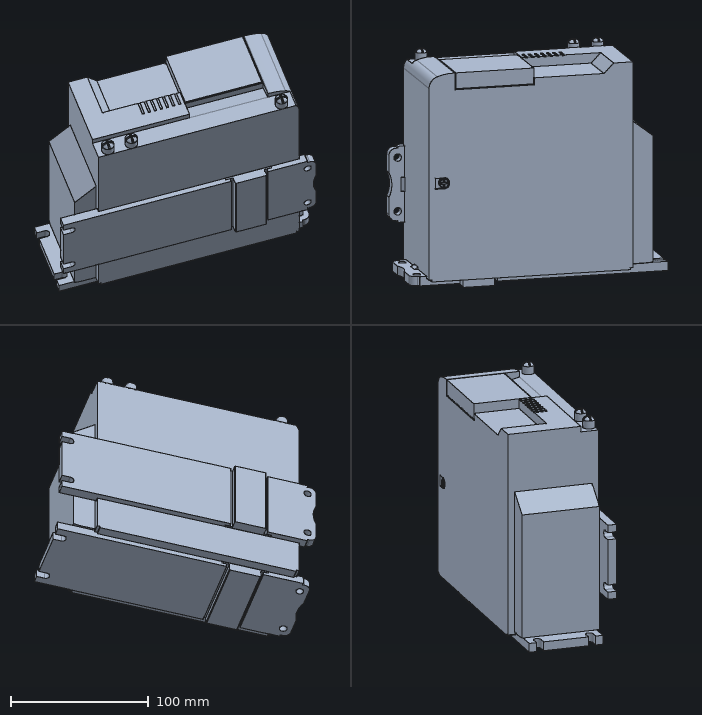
import cadquery as cq
import math


HOUSING_WIDTH = 69.9
HOUSING_LENGTH = 153.8
HOUSING_HEIGHT = 154.8
BASE_STEP_INSET = 2.1
BASE_STEP_HEIGHT = 1.4
SHOULDER_RADIUS = 8.9
CROWN_RADIUS = 41.6
CROWN_ANGLE = math.radians(18)

BLOCK_WIDTH = 59.6
BLOCK_DEPTH = 16.5
BLOCK_TOP = 110.3
BLOCK_EDGE_TOP = 97.7
BLOCK_RELIEF_DEPTH = 5.5
BLOCK_RELIEF_RISE = 0.5

STRIP_LEFT = 56.1
STRIP_DEPTH = 4.3
STRIP_Z = HOUSING_HEIGHT - STRIP_DEPTH

PANEL_WIDTH = 44.5
PANEL_FRONT = 74.9
PANEL_REAR = 133.7
PANEL_HEIGHT = 12.0
JOINT_WIDTH = 0.5
JOINT_DEPTH = 1.0
RAMP_DROP = 2.5

POCKET_WIDTH = 34.8
POCKET_DEPTH = 7.4
POCKET_FLOOR_FRONT = 22.0
POCKET_FRONT = 14.7
VENT_COUNT = 7
VENT_LENGTH = 10.0
VENT_WIDTH = 1.5
VENT_DEPTH = 0.5
VENT_PITCH = 4.6
FIRST_VENT_Y = 42.8

BRACKET_WIDTH = 56.9
BRACKET_THICKNESS = 7.0
BRACKET_EMBED = 2.9
BRACKET_OVERHANG = 11.6
BRACKET_FRONT = -BLOCK_DEPTH - BRACKET_OVERHANG
BRACKET_REAR = HOUSING_LENGTH + BRACKET_OVERHANG
BRACKET_CENTRE_X = HOUSING_WIDTH / 2
BRACKET_CENTRE_Z = 58.2
HOLE_DIAMETER = 5.5
HOLE_SPACING = 40.0
SLOT_LENGTH = 8.9
HOLE_TO_REAR = 6.5
EAR_RADIUS = 5.0
EAR_INSET = 1.4
DIP_HALF_WIDTH = 9.0
DIP_DEPTH = 2.1
TOOTH_WIDTH = 10.5
TOOTH_LENGTH = 2.7
TOOTH_HEIGHT = 1.7

FOOT_CENTRE_Y = 114.5
FOOT_LENGTH = 24.0
FOOT_HEIGHT = 7.2
FOOT_CHAMFER = 0.5
FOOT_GAP_LENGTH = 28.0
PAD_LENGTH = 35.2
PAD_THICKNESS = 1.5
FOOT_LEDGE = 0.2

TOP_SCREW_DIAMETER = 9.0
TOP_SCREW_SHANK = 6.0
TOP_SCREW_DOME = 2.7
TOP_SCREW_X = HOUSING_WIDTH - TOP_SCREW_DIAMETER / 2
TOP_SCREW_YS = (8.7, 26.7, 141.6)
CROSS_WIDTH = 1.2
SIDE_SCREW_DIAMETER = 7.0
SIDE_SCREW_HEIGHT = 2.9
SIDE_SCREW_CHAMFER = 0.4
SIDE_CROSS_LENGTH = 5.6
SIDE_CROSS_DEPTH = 1.0
SIDE_SCREW_Y = 142.5
SIDE_SCREW_Z = 73.0
SIDE_RECESS_DIAMETER = 8.1
SIDE_RECESS_REAR = 149.2
SIDE_RECESS_DEPTH = SIDE_SCREW_HEIGHT


def box(x_range, y_range, z_range):
    """Box that spans the given ranges along the three axes."""
    starts, ends = zip(x_range, y_range, z_range)
    sizes = [end - start for start, end in zip(starts, ends)]
    return cq.Workplane("XY").box(*sizes, centered=False).translate(starts)


def side_prism(points, x_range):
    """Prism along X over an outline of (Y, Z) points."""
    start, end = x_range
    return cq.Workplane("YZ", origin=(start, 0, 0)).polyline(points).close().extrude(end - start)


def housing_shell():
    """Main block with stepped bottom edges and a rounded upper rear edge."""
    shoulder_bottom = (
        HOUSING_HEIGHT
        - CROWN_RADIUS * (1 - math.cos(CROWN_ANGLE))
        - SHOULDER_RADIUS * math.cos(CROWN_ANGLE)
    )
    shoulder_centre_y = HOUSING_LENGTH - SHOULDER_RADIUS

    def shoulder_point(angle):
        return (
            shoulder_centre_y + SHOULDER_RADIUS * math.sin(angle),
            shoulder_bottom + SHOULDER_RADIUS * math.cos(angle),
        )

    shoulder_end = shoulder_point(CROWN_ANGLE)
    crown_centre_y = shoulder_end[0] - CROWN_RADIUS * math.sin(CROWN_ANGLE)
    crown_centre_z = HOUSING_HEIGHT - CROWN_RADIUS

    def crown_point(angle):
        return (
            crown_centre_y + CROWN_RADIUS * math.sin(angle),
            crown_centre_z + CROWN_RADIUS * math.cos(angle),
        )

    return (
        cq.Workplane("YZ")
        .moveTo(BASE_STEP_INSET, 0)
        .lineTo(HOUSING_LENGTH - BASE_STEP_INSET, 0)
        .lineTo(HOUSING_LENGTH - BASE_STEP_INSET, BASE_STEP_HEIGHT)
        .lineTo(HOUSING_LENGTH, BASE_STEP_HEIGHT)
        .lineTo(HOUSING_LENGTH, shoulder_bottom)
        .threePointArc(shoulder_point((math.pi / 2 + CROWN_ANGLE) / 2), shoulder_end)
        .threePointArc(crown_point(CROWN_ANGLE / 2), crown_point(0))
        .lineTo(0, HOUSING_HEIGHT)
        .lineTo(0, BASE_STEP_HEIGHT)
        .lineTo(BASE_STEP_INSET, BASE_STEP_HEIGHT)
        .close()
        .extrude(HOUSING_WIDTH)
    )


def terminal_block():
    """Block on the front face with a sloped top, resting on the bottom bracket."""
    left = (HOUSING_WIDTH - BLOCK_WIDTH) / 2
    outline = [
        (0, BRACKET_EMBED),
        (0, BLOCK_TOP),
        (-BLOCK_DEPTH, BLOCK_EDGE_TOP),
        (-BLOCK_DEPTH, BRACKET_EMBED + BLOCK_RELIEF_RISE),
        (BLOCK_RELIEF_DEPTH - BLOCK_DEPTH, BRACKET_EMBED),
    ]
    return side_prism(outline, (left, left + BLOCK_WIDTH))


def screw_strip_cut():
    return box((STRIP_LEFT, HOUSING_WIDTH), (0, HOUSING_LENGTH), (STRIP_Z, HOUSING_HEIGHT))


def panel_ramp_cut():
    """Trough between the panel and the screw strip, falling towards the panel."""
    left = PANEL_WIDTH + JOINT_WIDTH
    front = PANEL_FRONT - JOINT_WIDTH
    rear = PANEL_REAR + JOINT_WIDTH
    return (
        cq.Workplane("XZ", origin=(0, rear, 0))
        .moveTo(left, HOUSING_HEIGHT)
        .lineTo(left, STRIP_Z - RAMP_DROP)
        .lineTo(STRIP_LEFT, STRIP_Z)
        .lineTo(STRIP_LEFT, HOUSING_HEIGHT)
        .close()
        .extrude(rear - front)
    )


def panel_joint_cut():
    """Joint groove around the panel, on the top face and on the left face."""
    panel_bottom = HOUSING_HEIGHT - PANEL_HEIGHT
    outer_y = (PANEL_FRONT - JOINT_WIDTH, PANEL_REAR + JOINT_WIDTH)
    panel_y = (PANEL_FRONT, PANEL_REAR)
    top_z = (HOUSING_HEIGHT - JOINT_DEPTH, HOUSING_HEIGHT)
    top = box((0, PANEL_WIDTH + JOINT_WIDTH), outer_y, top_z).cut(box((0, PANEL_WIDTH), panel_y, top_z))
    side_x = (0, JOINT_DEPTH)
    side = box(side_x, outer_y, (panel_bottom - JOINT_WIDTH, HOUSING_HEIGHT)).cut(
        box(side_x, panel_y, (panel_bottom, HOUSING_HEIGHT))
    )
    return top.union(side)


def finger_pocket_cut():
    """Pocket open to the left, with a ramp at its front end."""
    floor = HOUSING_HEIGHT - POCKET_DEPTH
    outline = [
        (PANEL_FRONT, HOUSING_HEIGHT),
        (PANEL_FRONT, floor),
        (POCKET_FLOOR_FRONT, floor),
        (POCKET_FRONT, HOUSING_HEIGHT),
    ]
    return side_prism(outline, (0, POCKET_WIDTH))


def vent_cuts():
    """Row of narrow grooves that open into the finger pocket."""
    vents = cq.Workplane("XY")
    for index in range(VENT_COUNT):
        front = FIRST_VENT_Y + index * VENT_PITCH - VENT_WIDTH / 2
        vent = box(
            (POCKET_WIDTH, POCKET_WIDTH + VENT_LENGTH),
            (front, front + VENT_WIDTH),
            (HOUSING_HEIGHT - VENT_DEPTH, HOUSING_HEIGHT),
        )
        vents = vents.add(vent)
    return vents.combine()


def side_recess_cut():
    """Recess in the left face, round around the side screw and square at the rear."""
    radius = SIDE_RECESS_DIAMETER / 2
    return (
        cq.Workplane("YZ")
        .moveTo(SIDE_SCREW_Y, SIDE_SCREW_Z - radius)
        .lineTo(SIDE_RECESS_REAR, SIDE_SCREW_Z - radius)
        .lineTo(SIDE_RECESS_REAR, SIDE_SCREW_Z + radius)
        .lineTo(SIDE_SCREW_Y, SIDE_SCREW_Z + radius)
        .threePointArc((SIDE_SCREW_Y - radius, SIDE_SCREW_Z), (SIDE_SCREW_Y, SIDE_SCREW_Z - radius))
        .close()
        .extrude(SIDE_RECESS_DEPTH)
    )


def place_at_bottom(shape):
    """Move a bracket shape, built around X = 0 on a face at Z = 0, to the bottom of the housing."""
    return shape.translate((BRACKET_CENTRE_X, 0, 0))


def place_at_right(shape):
    """Turn the same shape outwards to the right side of the housing."""
    return shape.rotate((0, 0, 0), (0, 1, 0), -90).translate((HOUSING_WIDTH, 0, BRACKET_CENTRE_Z))


def bracket_recess():
    """Channel in the housing that takes the inner part of a bracket."""
    half_width = BRACKET_WIDTH / 2
    return box((-half_width, half_width), (0, HOUSING_LENGTH), (0, BRACKET_EMBED))


def make_housing():
    return (
        housing_shell()
        .union(terminal_block())
        .cut(screw_strip_cut())
        .cut(panel_ramp_cut())
        .cut(panel_joint_cut())
        .cut(finger_pocket_cut())
        .cut(vent_cuts())
        .cut(side_recess_cut())
        .cut(place_at_bottom(bracket_recess()))
        .cut(place_at_right(bracket_recess()))
    )


def bracket_plate():
    """Plate with rounded rear ears, a dip between them, two rear holes and two front slots."""
    half_width = BRACKET_WIDTH / 2
    hole_x = HOLE_SPACING / 2
    hole_y = BRACKET_REAR - HOLE_TO_REAR
    ear_side = half_width - EAR_INSET
    arc_centre_x = ear_side - EAR_RADIUS
    arc_centre_y = BRACKET_REAR - EAR_RADIUS
    arc_middle_x = arc_centre_x + EAR_RADIUS * math.sqrt(0.5)
    arc_middle_y = arc_centre_y + EAR_RADIUS * math.sqrt(0.5)
    plate = (
        cq.Workplane("XY", origin=(0, 0, BRACKET_EMBED - BRACKET_THICKNESS))
        .moveTo(-half_width, BRACKET_FRONT)
        .lineTo(half_width, BRACKET_FRONT)
        .lineTo(half_width, hole_y)
        .lineTo(ear_side, hole_y)
        .lineTo(ear_side, arc_centre_y)
        .threePointArc((arc_middle_x, arc_middle_y), (arc_centre_x, BRACKET_REAR))
        .lineTo(DIP_HALF_WIDTH, BRACKET_REAR)
        .threePointArc((0, BRACKET_REAR - DIP_DEPTH), (-DIP_HALF_WIDTH, BRACKET_REAR))
        .lineTo(-arc_centre_x, BRACKET_REAR)
        .threePointArc((-arc_middle_x, arc_middle_y), (-ear_side, arc_centre_y))
        .lineTo(-ear_side, hole_y)
        .lineTo(-half_width, hole_y)
        .close()
        .extrude(BRACKET_THICKNESS)
    )
    holes = (
        cq.Workplane("XY")
        .pushPoints([(-hole_x, hole_y), (hole_x, hole_y)])
        .circle(HOLE_DIAMETER / 2)
        .extrude(2 * BRACKET_THICKNESS, both=True)
    )
    slots = (
        cq.Workplane("XY")
        .pushPoints([(-hole_x, BRACKET_FRONT), (hole_x, BRACKET_FRONT)])
        .slot2D(2 * SLOT_LENGTH, HOLE_DIAMETER, 90)
        .extrude(2 * BRACKET_THICKNESS, both=True)
    )
    return plate.cut(holes).cut(slots)


def snap_tooth():
    """Ramped tooth on the inner side of a bracket that catches the rear face of the housing."""
    outline = [
        (HOUSING_LENGTH, BRACKET_EMBED),
        (HOUSING_LENGTH, BRACKET_EMBED + TOOTH_HEIGHT),
        (HOUSING_LENGTH + TOOTH_LENGTH, BRACKET_EMBED),
    ]
    return side_prism(outline, (-TOOTH_WIDTH / 2, TOOTH_WIDTH / 2))


def foot_span(length):
    return (FOOT_CENTRE_Y - length / 2, FOOT_CENTRE_Y + length / 2)


def make_bracket():
    """Bracket plate with its snap tooth and a raised foot that stands between two gaps."""
    half_width = BRACKET_WIDTH / 2
    width_span = (-half_width, half_width)
    foot_width_span = (-half_width - FOOT_LEDGE, half_width + FOOT_LEDGE)
    outer_face = BRACKET_EMBED - BRACKET_THICKNESS
    gap = box(width_span, foot_span(FOOT_GAP_LENGTH), (outer_face, -PAD_THICKNESS))
    pad = box(foot_width_span, foot_span(PAD_LENGTH), (-PAD_THICKNESS, 0))
    foot = box(foot_width_span, foot_span(FOOT_LENGTH), (-FOOT_HEIGHT, 0))
    foot = foot.faces("<Z").edges("|X").chamfer(FOOT_CHAMFER)
    return bracket_plate().cut(gap).union(pad).union(foot).union(snap_tooth())


def cross_cut(length, depth_span):
    """Two crossing slits, centred on the screw axis."""
    along = (-length / 2, length / 2)
    across = (-CROSS_WIDTH / 2, CROSS_WIDTH / 2)
    return box(along, across, depth_span).union(box(across, along, depth_span))


def make_top_screw():
    """Upright screw head on Z = 0 with a domed top and a cross cut through the dome."""
    radius = TOP_SCREW_DIAMETER / 2
    height = TOP_SCREW_SHANK + TOP_SCREW_DOME
    dome_radius = (radius**2 + TOP_SCREW_DOME**2) / (2 * TOP_SCREW_DOME)
    half_dome_angle = math.asin(radius / dome_radius) / 2
    dome_middle = (
        dome_radius * math.sin(half_dome_angle),
        height - dome_radius * (1 - math.cos(half_dome_angle)),
    )
    head = (
        cq.Workplane("XZ")
        .lineTo(radius, 0)
        .lineTo(radius, TOP_SCREW_SHANK)
        .threePointArc(dome_middle, (0, height))
        .close()
        .revolve(360, (0, 0), (0, 1))
    )
    return head.cut(cross_cut(TOP_SCREW_DIAMETER, (TOP_SCREW_SHANK, height)))


def make_side_screw():
    """Upright flat screw head on Z = 0 with a chamfered rim and a cross recess."""
    head = cq.Workplane("XY").circle(SIDE_SCREW_DIAMETER / 2).extrude(SIDE_SCREW_HEIGHT)
    head = head.faces(">Z").edges().chamfer(SIDE_SCREW_CHAMFER)
    cross_span = (SIDE_SCREW_HEIGHT - SIDE_CROSS_DEPTH, SIDE_SCREW_HEIGHT)
    return head.cut(cross_cut(SIDE_CROSS_LENGTH, cross_span))


housing = make_housing()

brackets = [place_at_bottom(make_bracket()), place_at_right(make_bracket())]

top_screws = []
for screw_y in TOP_SCREW_YS:
    screw = make_top_screw()
    top_screws.append(screw.translate((TOP_SCREW_X, screw_y, STRIP_Z)))

side_screw = (
    make_side_screw()
    .rotate((0, 0, 0), (0, 1, 0), -90)
    .translate((SIDE_RECESS_DEPTH, SIDE_SCREW_Y, SIDE_SCREW_Z))
)

result = cq.Compound.makeCompound(
    [
        housing.val(),
        *[bracket.val() for bracket in brackets],
        *[screw.val() for screw in top_screws],
        side_screw.val(),
    ]
)